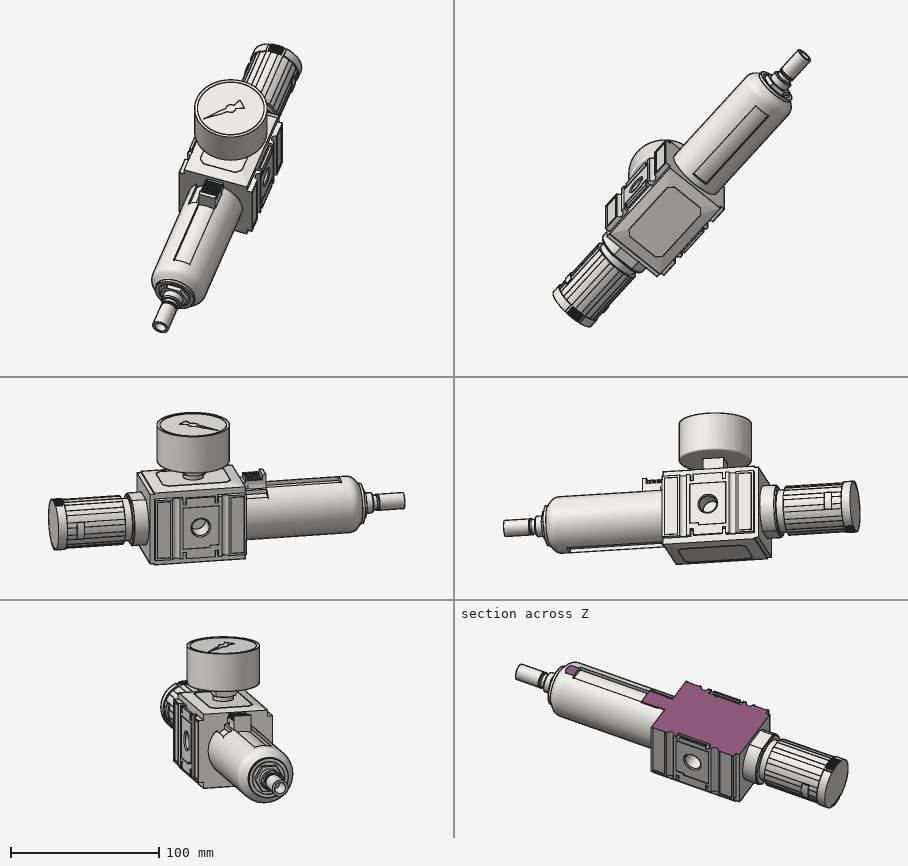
import cadquery as cq
import math


body_length = 62.8
core_width = 44.8
core_height = 51.6
overall_width = 52.0
side_height = 43.0
body_end = body_length / 2
side_face = overall_width / 2
core_side = core_width / 2
side_top = side_height / 2

crown_height = 1.4
crown_flat_width = 31.2
crown_flat_length = 48.0
crown_corner = 3.4
plate_height = 0.3
plate_margin = 0.7
crown_top = core_height / 2 + crown_height + plate_height

cap_thickness = 2.8
cap_height = 49.8
cap_end = body_end + cap_thickness

groove_offset = 17.0
groove_radius = 2.5
pad_inner = 20.8
pad_outer = 29.9
pad_height = 40.2
pad_depth = 0.5
tab_half_length = 10.0
tab_notch_width = 2.2
tab_notch_depth = 4.4
tab_thickness = 1.6
panel_half_length = 12.4
panel_top = 14.8
panel_bottom = -14.6
panel_depth = 0.3
panel_step_length = 6.0
panel_step_height = 1.5
port_diameter = 11.8
port_mouth_diameter = 13.4
port_depth = 14.0

overall_height = 92.27
gauge_top = overall_height - crown_top
gauge_height = 26.4
gauge_radius = 24.5
gauge_edge_radius = 1.2
dial_radius = 22.5
dial_recess = 0.3
needle_height = 0.2
needle_hub_radius = 3.3
needle_length = 20.4
needle_point_start = 16.0
needle_point_half_width = 0.3
needle_taper_start = 8.0
needle_half_width = 1.4
needle_tail_start = 2.8
needle_tail_end = 8.6
needle_tail_half_width = 3.8
needle_angle = 45
stem_square = 14.0
stem_square_bottom = 30.3
stem_turned_diameter = 15.4
stem_collar_diameter = 13.6
gauge_bottom = gauge_top - gauge_height

bonnet_radius = 18.0
bonnet_flat_height = 32.4
bonnet_end = 43.8
shoulder_radius = 17.3
shoulder_flat_height = 29.8
shoulder_end = 44.8
neck_radius = 14.4
knob_radius = 16.6
knob_start = 49.9
rim_radius = 17.3
rim_start = 90.0
overall_length = 241.0
knob_end = 96.2
flute_count = 12
flute_angle = 17.6
flute_depth = 0.25
marker_half_width = 6.0
marker_start = 78.3
marker_end = 83.3
grip_half_width = 6.4
grip_ridge_count = 10
grip_ridge_pitch = 1.0
grip_ridge_width = 0.5

bowl_radius = 19.2
bowl_straight_end = -106.3
dome_arc_radius = 6.8
dome_arc_angle = 48.6
dome_end = -114.0
dome_end_radius = 14.0
drain_ring_radius = 13.7
drain_ring_end = -115.8
drain_recess_radius = 11.3
drain_recess_depth = 0.8
drain_hex_flats = 17.2
drain_hex_end = -118.0
drain_collar_radius = 7.0
drain_collar_end = -123.3
drain_collar_chamfer = 0.8
drain_neck_radius = 5.0
drain_neck_end = -125.9
tube_radius = 5.55
tube_end = knob_end - overall_length
tube_bore_radius = 3.9
tube_bore_depth = 15.0
tube_groove_depth = 0.3
tube_groove_width = 0.6
tube_groove_position = -127.0
recess_floor_radius = 16.6
window_half_width = 5.8
window_start = -36.1
window_end = -101.0
bayonet_near = -7.6
bayonet_far = -13.3

button_half_width = 5.8
button_foot_half_width = 6.4
button_root_top = 22.8
button_step = -35.0
button_deck = 23.9
button_underside = 20.6
button_foot_top = 18.2
button_foot_start = -36.5
button_end = -49.0
button_wall_thickness = 2.6
button_wall_top = 27.5
button_base = 15.0
rib_top = 25.9
rib_count = 6
rib_pitch = 1.9
rib_width = 0.9


def box(x_from, x_to, y_from, y_to, z_from, z_to):
    return cq.Workplane("XY").box(
        x_to - x_from, y_to - y_from, z_to - z_from, centered=False
    ).translate((x_from, y_from, z_from))


def centred_box(width, height, y_from, y_to):
    return box(-width / 2, width / 2, y_from, y_to, -height / 2, height / 2)


def y_cylinder(radius, y_from, y_to):
    return cq.Workplane("XZ", origin=(0, y_to, 0)).circle(radius).extrude(y_to - y_from)


def z_cylinder(radius, z_from, z_to):
    return cq.Workplane("XY").workplane(offset=z_from).circle(radius).extrude(z_to - z_from)


def both_sides(shape):
    return shape.union(shape.mirror("YZ"))


def top_and_bottom(shape):
    return shape.union(shape.mirror("XY"))


def octagon(half_x, half_y, cut_x, cut_y):
    """Corner points of a rectangle whose corners are cut by cut_x along X and cut_y along Y."""
    return [
        (half_x, half_y - cut_y), (half_x - cut_x, half_y),
        (cut_x - half_x, half_y), (-half_x, half_y - cut_y),
        (-half_x, cut_y - half_y), (cut_x - half_x, -half_y),
        (half_x - cut_x, -half_y), (half_x, cut_y - half_y),
    ]


def make_crown():
    flat_x = crown_flat_width / 2
    flat_y = crown_flat_length / 2
    base = octagon(core_side, body_end, core_side - flat_x, 0)
    flat = octagon(flat_x, flat_y, crown_corner, crown_corner)
    plate = octagon(flat_x - plate_margin, flat_y - plate_margin, crown_corner, crown_corner)
    slopes = (
        cq.Workplane("XY").workplane(offset=core_height / 2)
        .polyline(base).close()
        .workplane(offset=crown_height)
        .polyline(flat).close()
        .loft(ruled=True)
    )
    raised = (
        cq.Workplane("XY").workplane(offset=core_height / 2 + crown_height)
        .polyline(plate).close().extrude(plate_height)
    )
    return slopes.union(raised)


def make_side_cuts():
    """Everything cut into the port side at -X."""
    outer = -side_face
    cuts = box(outer, outer + panel_depth, -panel_half_length, panel_half_length, panel_bottom, panel_top)
    panel_step = box(
        outer, outer + panel_depth,
        -panel_half_length, panel_step_length - panel_half_length,
        panel_bottom, panel_bottom + panel_step_height,
    )
    cuts = cuts.cut(panel_step)

    notch_outer = tab_half_length + tab_notch_width
    notch_floor = side_top - tab_notch_depth
    slot = box(outer + tab_thickness, -core_side, -notch_outer, notch_outer, notch_floor, side_top)
    cuts = cuts.union(top_and_bottom(slot))

    for end in (-1, 1):
        pad_middle = end * (pad_inner + pad_outer) / 2
        pad_half = (pad_outer - pad_inner) / 2
        pad = box(
            outer, outer + pad_depth,
            pad_middle - pad_half, pad_middle + pad_half,
            -pad_height / 2, pad_height / 2,
        )
        groove = (
            cq.Workplane("XY", origin=(outer, end * groove_offset, -side_top))
            .circle(groove_radius).extrude(side_height)
        )
        notch_middle = end * (tab_half_length + tab_notch_width / 2)
        notch = box(
            outer, -core_side,
            notch_middle - tab_notch_width / 2, notch_middle + tab_notch_width / 2,
            notch_floor, side_top,
        )
        cuts = cuts.union(pad).union(groove).union(top_and_bottom(notch))

    mouth_depth = (port_mouth_diameter - port_diameter) / 2
    port = (
        cq.Workplane("YZ", origin=(outer, 0, 0)).circle(port_diameter / 2).extrude(port_depth)
    )
    mouth = (
        cq.Workplane("YZ", origin=(outer + panel_depth, 0, 0))
        .circle(port_mouth_diameter / 2)
        .workplane(offset=mouth_depth).circle(port_diameter / 2).loft()
    )
    return cuts.union(port).union(mouth)


def make_body():
    core = centred_box(core_width, core_height, -body_end, body_end)
    sides = centred_box(overall_width, side_height, -body_end, body_end)
    cap = centred_box(core_width, cap_height, body_end, cap_end)
    body = core.union(sides).union(top_and_bottom(make_crown())).union(cap)
    return body.cut(both_sides(make_side_cuts()))


def make_needle():
    """Needle along X with its hub at the origin, tip at -X and flared tail at +X."""
    upper = [
        (-needle_length, 0),
        (-needle_point_start, needle_point_half_width),
        (-needle_taper_start, needle_half_width),
        (needle_tail_start, needle_half_width),
        (needle_tail_end, needle_tail_half_width),
    ]
    lower = [(x, -y) for x, y in reversed(upper[1:])]
    floor = gauge_top - dial_recess
    blade = (
        cq.Workplane("XY").workplane(offset=floor)
        .polyline(upper + lower).close().extrude(needle_height)
    )
    hub = z_cylinder(needle_hub_radius, floor, floor + needle_height)
    return blade.union(hub).rotate((0, 0, 0), (0, 0, 1), needle_angle)


def make_gauge():
    case = z_cylinder(gauge_radius, gauge_bottom, gauge_top).faces("<Z").edges().fillet(gauge_edge_radius)
    case = case.cut(z_cylinder(dial_radius, gauge_top - dial_recess, gauge_top))
    stem_height = gauge_bottom - stem_square_bottom
    square = (
        cq.Workplane("XY").workplane(offset=stem_square_bottom)
        .rect(stem_square, stem_square).extrude(stem_height)
    )
    corner_diagonal = stem_square * math.sqrt(2)
    cone_height = (corner_diagonal - stem_turned_diameter) / 4
    cone_width = (corner_diagonal - stem_collar_diameter) / 2
    turned = (
        z_cylinder(corner_diagonal / 2, stem_square_bottom, gauge_bottom)
        .faces("<Z").chamfer(cone_height, cone_width)
    )
    collar = z_cylinder(stem_collar_diameter / 2, core_height / 2, stem_square_bottom)
    return case.union(make_needle()).union(square.intersect(turned)).union(collar)


def make_bonnet():
    flats = centred_box(2 * bonnet_radius, bonnet_flat_height, cap_end, bonnet_end)
    bonnet = y_cylinder(bonnet_radius, cap_end, bonnet_end).intersect(flats)
    shoulder_flats = centred_box(2 * bonnet_radius, shoulder_flat_height, bonnet_end, shoulder_end)
    shoulder = y_cylinder(shoulder_radius, bonnet_end, shoulder_end).intersect(shoulder_flats)
    return bonnet.union(shoulder)


def make_flutes():
    """Shallow grooves spaced round the knob, one centred on each of the X and Z directions."""
    half_width = knob_radius * math.sin(math.radians(flute_angle / 2))
    wedge = box(-half_width, half_width, knob_start, rim_start, 0, 2 * knob_radius)
    ring = y_cylinder(2 * knob_radius, knob_start, rim_start).cut(
        y_cylinder(knob_radius - flute_depth, knob_start, rim_start)
    )
    flute = wedge.intersect(ring)
    flutes = flute
    for index in range(1, flute_count):
        flutes = flutes.union(flute.rotate((0, 0, 0), (0, 1, 0), index * 360 / flute_count))
    return flutes


def make_rim():
    """Rim of the knob, with a ridged grip recessed down to the knob radius at top and bottom."""
    rim = y_cylinder(rim_radius, rim_start, knob_end)
    grip = centred_box(2 * grip_half_width, 2 * rim_radius, rim_start, knob_end)
    grip = grip.cut(y_cylinder(knob_radius, rim_start, knob_end))
    for index in range(grip_ridge_count):
        middle = (index - (grip_ridge_count - 1) / 2) * grip_ridge_pitch
        ridge = centred_box(grip_ridge_width, 2 * rim_radius, rim_start, knob_end)
        grip = grip.cut(ridge.translate((middle, 0, 0)))
    return rim.cut(grip)


def make_knob():
    neck = y_cylinder(neck_radius, shoulder_end, knob_start)
    grip = y_cylinder(knob_radius, knob_start, rim_start).cut(make_flutes())
    marker = y_cylinder(rim_radius, marker_start, marker_end).intersect(
        centred_box(2 * rim_radius, 2 * marker_half_width, marker_start, marker_end)
    ).cut(centred_box(knob_radius, 2 * rim_radius, marker_start, marker_end))
    return neck.union(grip).union(make_rim()).union(marker)


def make_bowl():
    def dome_point(angle):
        radius = bowl_radius - dome_arc_radius * (1 - math.cos(math.radians(angle)))
        return (radius, bowl_straight_end - dome_arc_radius * math.sin(math.radians(angle)))

    shell = (
        cq.Workplane("XY")
        .moveTo(0, -body_end)
        .lineTo(bowl_radius, -body_end)
        .lineTo(bowl_radius, bowl_straight_end)
        .threePointArc(dome_point(dome_arc_angle / 2), dome_point(dome_arc_angle))
        .lineTo(dome_end_radius, dome_end)
        .lineTo(0, dome_end)
        .close()
        .revolve(360, (0, 0, 0), (0, 1, 0))
    )
    window = box(
        -window_half_width, window_half_width, window_end, window_start, 0, bowl_radius
    ).cut(y_cylinder(recess_floor_radius, window_end, window_start))
    bayonet = box(
        bayonet_far, bayonet_near, button_end, -body_end, 0, bowl_radius
    ).cut(y_cylinder(recess_floor_radius, button_end, -body_end))
    return shell.cut(top_and_bottom(window)).cut(bayonet)


def make_drain():
    ring = y_cylinder(drain_ring_radius, drain_ring_end, dome_end)
    recess_floor = drain_ring_end + drain_recess_depth
    ring = ring.cut(y_cylinder(drain_recess_radius, drain_ring_end, recess_floor))
    hexagon = (
        cq.Workplane("XZ", origin=(0, recess_floor, 0))
        .polygon(6, drain_hex_flats / math.cos(math.radians(30)))
        .extrude(recess_floor - drain_hex_end)
    )
    collar = (
        y_cylinder(drain_collar_radius, drain_collar_end, drain_hex_end)
        .faces("<Y").chamfer(drain_collar_chamfer)
    )
    neck = y_cylinder(drain_neck_radius, drain_neck_end, drain_collar_end)
    tube = y_cylinder(tube_radius, tube_end, drain_neck_end)
    groove_end = tube_groove_position - tube_groove_width
    groove = y_cylinder(tube_radius, groove_end, tube_groove_position).cut(
        y_cylinder(tube_radius - tube_groove_depth, groove_end, tube_groove_position)
    )
    bore = y_cylinder(tube_bore_radius, tube_end, tube_end + tube_bore_depth)
    return ring.union(hexagon).union(collar).union(neck).union(tube.cut(groove).cut(bore))


def make_button():
    half = button_half_width
    wall_start = button_end + button_wall_thickness
    root = box(-half, half, button_step, -body_end, button_base, button_root_top)
    deck = box(-half, half, button_end, button_step, button_base, button_deck)
    wall = box(-half, half, button_end, wall_start, button_base, button_wall_top)
    foot = (
        cq.Workplane("XZ", origin=(0, button_foot_start, 0))
        .moveTo(-half, button_underside)
        .lineTo(half, button_underside)
        .lineTo(button_foot_half_width, button_foot_top)
        .lineTo(button_foot_half_width, button_base)
        .lineTo(-button_foot_half_width, button_base)
        .lineTo(-button_foot_half_width, button_foot_top)
        .close()
        .extrude(button_foot_start - button_end)
    )
    button = root.union(deck).union(wall).union(foot)
    for index in range(rib_count):
        rib_front = button_step - index * rib_pitch
        button = button.union(box(-half, half, rib_front - rib_width, rib_front, button_deck, rib_top))
    return button


result = make_body()
for component in (make_gauge(), make_bonnet(), make_knob(), make_bowl(), make_drain(), make_button()):
    result = result.union(component)